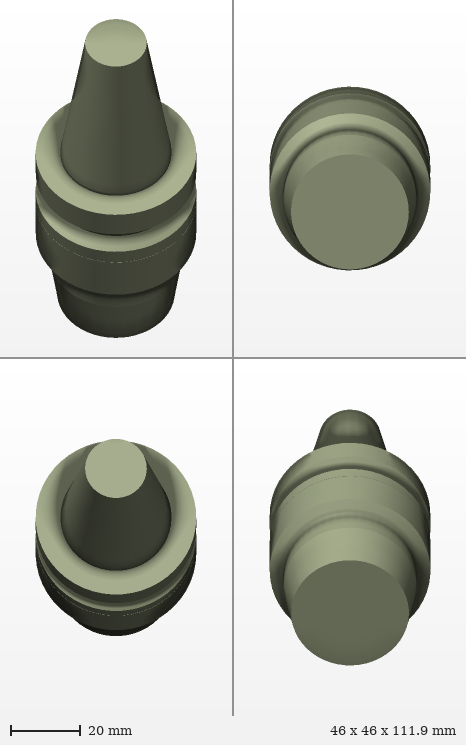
import cadquery as cq
import math

total_length = 111.9
flange_diameter = 46.0
seam_diameter = 45.9
seam_width = 0.3
neck_diameter = 38.0
nose_end_diameter = 33.7
shank_diameter = 31.8
taper_ratio = 7 / 24
taper_length = 48.5
collar_length = 0.9
flange_thickness = 8.7
groove_floor_width = 3.2
land_length = 4.5
body_length = 14.4
nose_cone_length = 16.5
chamfer_angle = math.radians(30)
blend_radius = 2.0

flange_radius = flange_diameter / 2
seam_radius = seam_diameter / 2
neck_radius = neck_diameter / 2
nose_end_radius = nose_end_diameter / 2
shank_radius = shank_diameter / 2
tip_radius = shank_radius - taper_length * taper_ratio / 2

taper_base = total_length - taper_length
flange_top = taper_base - collar_length
cone_height = (flange_radius - neck_radius) * math.tan(chamfer_angle)
flange_bottom = flange_top - flange_thickness
groove_top = flange_bottom - cone_height
groove_bottom = groove_top - groove_floor_width
land_top = groove_bottom - cone_height
land_bottom = land_top - land_length
seam_bottom = land_bottom - seam_width
body_bottom = seam_bottom - body_length

cone_corner = body_bottom - cone_height
turn_angle = math.pi / 2 - chamfer_angle
half_turn = turn_angle / 2
tangent_length = blend_radius * math.tan(half_turn)
blend_start = (
    neck_radius + tangent_length * math.cos(chamfer_angle),
    cone_corner + tangent_length * math.sin(chamfer_angle),
)
blend_end = (neck_radius, cone_corner - tangent_length)
blend_middle = (
    neck_radius + blend_radius * (1 - math.cos(half_turn)),
    blend_end[1] + blend_radius * math.sin(half_turn),
)

profile = (
    cq.Workplane("XZ")
    .moveTo(0, total_length)
    .lineTo(tip_radius, total_length)
    .lineTo(shank_radius, taper_base)
    .lineTo(shank_radius, flange_top)
    .lineTo(flange_radius, flange_top)
    .lineTo(flange_radius, flange_bottom)
    .lineTo(neck_radius, groove_top)
    .lineTo(neck_radius, groove_bottom)
    .lineTo(flange_radius, land_top)
    .lineTo(flange_radius, land_bottom)
    .lineTo(seam_radius, land_bottom)
    .lineTo(seam_radius, seam_bottom)
    .lineTo(flange_radius, seam_bottom)
    .lineTo(flange_radius, body_bottom)
    .lineTo(*blend_start)
    .threePointArc(blend_middle, blend_end)
    .lineTo(neck_radius, nose_cone_length)
    .lineTo(nose_end_radius, 0)
    .lineTo(0, 0)
    .close()
)

result = profile.revolve(360, (0, 0, 0), (0, 1, 0))